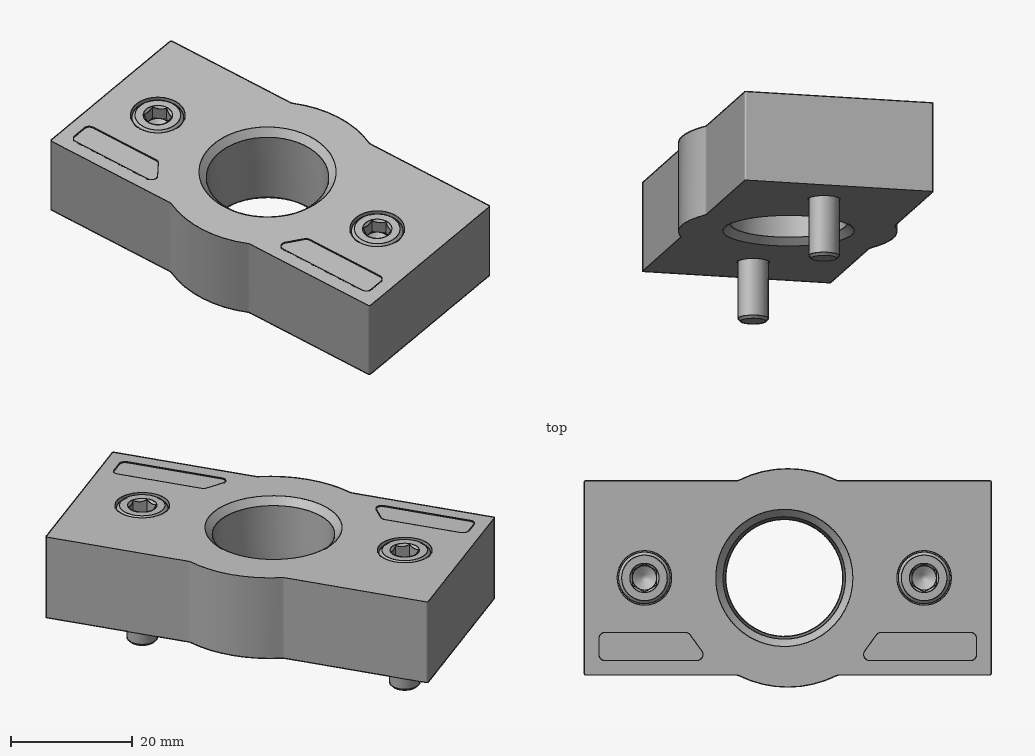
import cadquery as cq
import math

plate_length = 67.0
plate_width = 32.0
plate_height = 15.0
bulge_diameter = 36.0
bulge_blend_radius = 1.0
corner_radius = 0.3

bore_center_x = -0.57
bore_top_diameter = 20.2
bore_bottom_diameter = 19.2
bore_chamfer = 1.2
screw_spacing = 46.0

shank_diameter = 5.0
shank_projection = 10.0
tip_diameter = 4.15
head_diameter = 8.5
head_height = 5.0
head_chamfer = 0.5
clearance_diameter = 5.3
counterbore_diameter = 9.0

socket_flats = 4.0
socket_depth = 2.5
socket_mouth_diameter = 4.8
drill_point_angle = 118.0

pocket_inset = 2.4
pocket_width = 4.6
pocket_depth = 0.2
pocket_corner_radius = 1.0
pocket_slant = 3.35
left_pocket_length = 18.1
right_pocket_length = 19.55

screw_positions = [bore_center_x - screw_spacing / 2, bore_center_x + screw_spacing / 2]


def make_plate_blank():
    """Block with rounded corners, joined to the bulge through concave blends."""
    block = cq.Workplane("XY").box(plate_length, plate_width, plate_height, centered=(True, True, False))
    block = block.edges("|Z").fillet(corner_radius)
    bulge = cq.Workplane("XY").circle(bulge_diameter / 2).extrude(plate_height)
    joint_x = math.sqrt((bulge_diameter / 2) ** 2 - (plate_width / 2) ** 2)
    reach = 2 * joint_x
    near_joints = cq.selectors.BoxSelector((-reach, -plate_width, 0), (reach, plate_width, plate_height))
    return block.union(bulge).edges("|Z").edges(near_joints).fillet(bulge_blend_radius)


def make_bore_cutter():
    """Turned profile: slightly tapered wall, wider at the top, with a chamfer at both mouths."""
    top_radius = bore_top_diameter / 2
    bottom_radius = bore_bottom_diameter / 2
    profile = [
        (0, 0),
        (bottom_radius + bore_chamfer, 0),
        (bottom_radius, bore_chamfer),
        (top_radius, plate_height - bore_chamfer),
        (top_radius + bore_chamfer, plate_height),
        (0, plate_height),
    ]
    cutter = cq.Workplane("XZ").polyline(profile).close().revolve(360, (0, 0), (0, 1))
    return cutter.translate((bore_center_x, 0, 0))


def make_screw_hole(x):
    """Clearance hole with a counterbore that takes the screw head."""
    clearance = cq.Workplane("XY").circle(clearance_diameter / 2).extrude(plate_height)
    counterbore = (
        cq.Workplane("XY", origin=(0, 0, plate_height - head_height))
        .circle(counterbore_diameter / 2)
        .extrude(head_height)
    )
    return clearance.union(counterbore).translate((x, 0, 0))


def make_label_pocket(length, side):
    """Pocket at the left (side -1) or right (side 1) end; length is its longest edge before rounding."""
    outer_x = side * (plate_length / 2 - pocket_inset)
    inner_x = outer_x - side * length
    front_y = -plate_width / 2 + pocket_inset
    back_y = front_y + pocket_width
    outline = [
        (outer_x, front_y),
        (inner_x, front_y),
        (inner_x + side * pocket_slant, back_y),
        (outer_x, back_y),
    ]
    pocket = cq.Workplane("XY", origin=(0, 0, plate_height - pocket_depth)).polyline(outline).close()
    return pocket.extrude(pocket_depth).edges("|Z").fillet(pocket_corner_radius)


def make_plate():
    plate = make_plate_blank().cut(make_bore_cutter())
    for x in screw_positions:
        plate = plate.cut(make_screw_hole(x))
    plate = plate.cut(make_label_pocket(left_pocket_length, -1))
    return plate.cut(make_label_pocket(right_pocket_length, 1))


def make_socket_cutter():
    """Hexagon with flats facing along X, a chamfered mouth and a conical floor."""
    flat_radius = socket_flats / 2
    mouth_radius = socket_mouth_diameter / 2
    corner_diameter = socket_flats / math.cos(math.pi / 6)
    floor_z = plate_height - socket_depth
    point_depth = flat_radius / math.tan(math.radians(drill_point_angle / 2))
    hexagon = (
        cq.Workplane("XY", origin=(0, 0, floor_z))
        .polygon(6, corner_diameter)
        .extrude(socket_depth)
        .rotate((0, 0, 0), (0, 0, 1), 30)
    )
    turned_profile = [
        (0, floor_z - point_depth),
        (flat_radius, floor_z),
        (flat_radius, plate_height - (mouth_radius - flat_radius)),
        (mouth_radius, plate_height),
        (0, plate_height),
    ]
    turned = cq.Workplane("XZ").polyline(turned_profile).close().revolve(360, (0, 0), (0, 1))
    return hexagon.union(turned)


def make_screw(x):
    """Socket head screw whose head top is flush with the plate top."""
    shank_radius = shank_diameter / 2
    head_radius = head_diameter / 2
    tip_radius = tip_diameter / 2
    tip_z = -shank_projection
    seat_z = plate_height - head_height
    profile = [
        (0, tip_z),
        (tip_radius, tip_z),
        (shank_radius, tip_z + shank_radius - tip_radius),
        (shank_radius, seat_z),
        (head_radius, seat_z),
        (head_radius, plate_height - head_chamfer),
        (head_radius - head_chamfer, plate_height),
        (0, plate_height),
    ]
    body = cq.Workplane("XZ").polyline(profile).close().revolve(360, (0, 0), (0, 1))
    return body.cut(make_socket_cutter()).translate((x, 0, 0))


plate = make_plate()
screws = [make_screw(x) for x in screw_positions]

result = cq.Compound.makeCompound([plate.val(), *[screw.val() for screw in screws]])